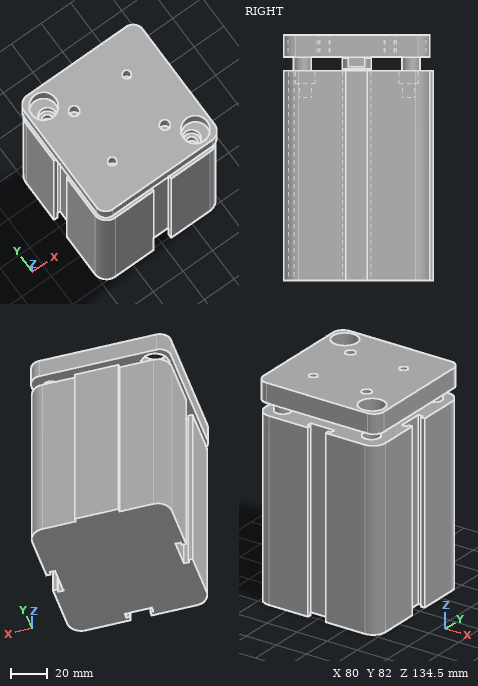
import cadquery as cq

side = 80.0
total_height = 134.5
plate_thickness = 12.2
gap = 7.4
plate_bottom = total_height - plate_thickness
housing_height = plate_bottom - gap

housing_corner_radius = 8.1
slot_opening = 11.8
slot_depth = 5.5
slot_lip_thickness = 2.5
slot_undercut = 1.9
pad_width = 25.0
pad_thickness = 2.0
screw_offset = 28.2
screw_diameter = 6.6
screw_hole_depth = 14.4
counterbore_diameter = 10.6
counterbore_depth = 6.7

plate_corner_radius = 6.5
access_diameter = 16.0
mount_offset = 17.8
dowel_diameter = 6.0
thread_diameter = 5.0

guide_offset = 29.7
guide_diameter = 10.0
piston_diameter = 16.0
neck_diameter = 15.6
neck_height = 0.7
taper_height = 0.5
flats_width = 13.2
flats_height = 5.1


def rising_diagonal(offset):
    """The two points on the diagonal from -X -Y to +X +Y."""
    return [(-offset, -offset), (offset, offset)]


def falling_diagonal(offset):
    """The two points on the diagonal from -X +Y to +X -Y."""
    return [(-offset, offset), (offset, -offset)]


def rounded_block(height, corner_radius, bottom):
    """Square block on the common footprint with rounded vertical edges."""
    block = cq.Workplane("XY", origin=(0, 0, bottom)).rect(side, side).extrude(height)
    return block.edges("|Z").fillet(corner_radius)


def t_slot_cutter():
    """T-slot along the full height of the +X face."""
    floor = side / 2 - slot_depth
    pocket_depth = slot_depth - slot_lip_thickness
    pocket_width = slot_opening + 2 * slot_undercut
    plane = cq.Workplane("XY", origin=(floor, 0, 0))
    opening = plane.box(slot_depth, slot_opening, housing_height, centered=(False, True, False))
    pocket = plane.box(pocket_depth, pocket_width, housing_height, centered=(False, True, False))
    return opening.union(pocket)


def make_housing():
    body = rounded_block(housing_height, housing_corner_radius, 0)

    for angle in (0, 180, 270):
        body = body.cut(t_slot_cutter().rotate((0, 0, 0), (0, 0, 1), angle))

    pad_plane = cq.Workplane("XY", origin=(0, side / 2, 0))
    body = body.union(pad_plane.box(pad_width, pad_thickness, housing_height, centered=(True, False, False)))

    return (
        body.faces(">Z").workplane(origin=(0, 0, housing_height))
        .pushPoints(falling_diagonal(screw_offset))
        .cboreHole(screw_diameter, counterbore_diameter, counterbore_depth, screw_hole_depth)
    )


def make_piston_rod():
    """Rod spanning the gap, turned from its half profile, with two wrench flats."""
    radius = piston_diameter / 2
    neck_radius = neck_diameter / 2
    rod = (
        cq.Workplane("XZ")
        .polyline([
            (0, 0),
            (neck_radius, 0),
            (neck_radius, neck_height),
            (radius, neck_height + taper_height),
            (radius, gap - taper_height),
            (neck_radius, gap),
            (0, gap),
        ])
        .close()
        .revolve(360, (0, 0, 0), (0, 1, 0))
    )
    flat_cutter = cq.Workplane("XY", origin=(flats_width / 2, 0, gap - flats_height)).box(
        piston_diameter, piston_diameter, flats_height, centered=(False, True, False)
    )
    for cutter in (flat_cutter, flat_cutter.mirror("YZ")):
        rod = rod.cut(cutter)
    return rod.translate((0, 0, housing_height))


def make_guide_rods():
    return (
        cq.Workplane("XY", origin=(0, 0, housing_height))
        .pushPoints(rising_diagonal(guide_offset))
        .circle(guide_diameter / 2)
        .extrude(gap)
    )


def make_moving_plate():
    """Plate with its through holes, in one piece with the guide rods and the piston rod."""
    plate = rounded_block(plate_thickness, plate_corner_radius, plate_bottom)
    hole_pairs = (
        (falling_diagonal(guide_offset), access_diameter),
        (falling_diagonal(mount_offset), dowel_diameter),
        (rising_diagonal(mount_offset), thread_diameter),
    )
    for points, diameter in hole_pairs:
        plate = plate.faces(">Z").workplane(origin=(0, 0, total_height)).pushPoints(points).hole(diameter)
    return plate.union(make_guide_rods()).union(make_piston_rod())


housing = make_housing()
moving_plate = make_moving_plate()
result = cq.Compound.makeCompound([housing.solids().val(), moving_plate.solids().val()])